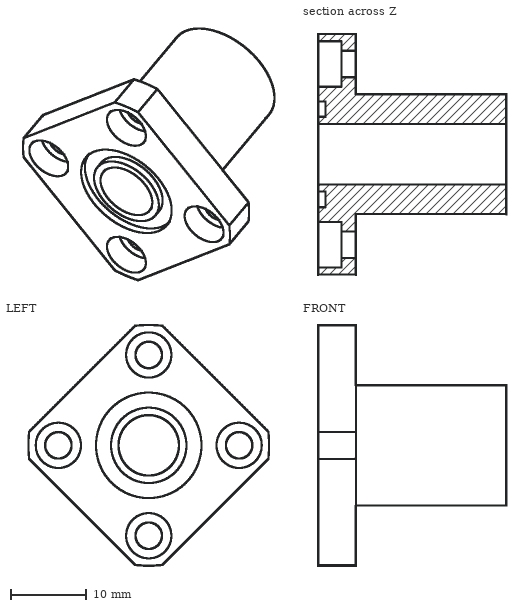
import cadquery as cq

total_length = 25.0
flange_diameter = 31.98
flange_square = 25.0
flange_thickness = 5.02
barrel_diameter = 16.0
bore_diameter = 8.0

recess_outer_diameter = 14.0
recess_inner_diameter = 10.0
recess_depth = 1.0

hole_diameter = 3.5
counterbore_diameter = 6.0
counterbore_depth = 3.1
bolt_circle_diameter = 24.0
hole_count = 4


def cylinder(diameter, length):
    """Cylinder along +X, starting at the flange face."""
    return cq.Workplane("YZ").circle(diameter / 2).extrude(length)


def make_flange():
    """Square standing on a corner, with its corners rounded to a circle."""
    square = (
        cq.Workplane("YZ")
        .rect(flange_square, flange_square)
        .extrude(flange_thickness)
        .rotate((0, 0, 0), (1, 0, 0), 45)
    )
    return square.intersect(cylinder(flange_diameter, flange_thickness))


def mounting_holes(diameter, depth):
    """Cutters for all mounting holes, starting at the flange face."""
    return (
        cq.Workplane("YZ")
        .polarArray(bolt_circle_diameter / 2, 0, 360, hole_count)
        .circle(diameter / 2)
        .extrude(depth)
    )


def make_recess():
    """Ring-shaped cutter for the recess in the flange face."""
    return cylinder(recess_outer_diameter, recess_depth).cut(
        cylinder(recess_inner_diameter, recess_depth)
    )


result = (
    make_flange()
    .union(cylinder(barrel_diameter, total_length))
    .cut(cylinder(bore_diameter, total_length))
    .cut(make_recess())
    .cut(mounting_holes(hole_diameter, flange_thickness))
    .cut(mounting_holes(counterbore_diameter, counterbore_depth))
)